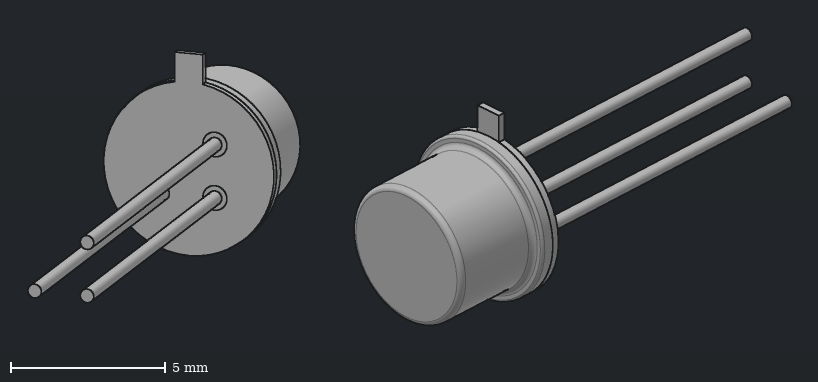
import cadquery as cq


total_length = 16.78
body_height = 4.08
lead_length = total_length - body_height

flange_diameter = 5.84
flange_radius = flange_diameter / 2
plate_thickness = 0.27
tab_width = 0.97
total_height = 6.8
tab_reach = total_height - flange_radius

cap_diameter = 4.95
cap_radius = cap_diameter / 2
rim_top = 0.75
rim_edge_radius = 0.1
cap_foot_radius = 0.2
cap_top_radius = 0.2

lead_diameter = 0.47
seal_diameter = 0.82
lead_spacing = 1.8
lead_offset = lead_spacing / 2
ground_position = (-lead_offset, -lead_offset)
sealed_positions = [(lead_offset, lead_offset), (lead_offset, -lead_offset)]


def cylinder_along_y(position, diameter, y_start, y_end):
    """Round bar centred on an (X, Z) position, from y_start up to y_end."""
    x, z = position
    return (
        cq.Workplane("XZ", origin=(x, y_start, z))
        .circle(diameter / 2)
        .extrude(y_start - y_end)
    )


def make_base_plate():
    """Thin disc with a radial index tab and through holes for the seals and the ground lead."""
    disc = cylinder_along_y((0, 0), flange_diameter, 0, plate_thickness)
    tab = cq.Workplane("XY").box(
        tab_width, plate_thickness, tab_reach, centered=(True, False, False)
    )
    plate = disc.union(tab)
    for position in sealed_positions:
        plate = plate.cut(cylinder_along_y(position, seal_diameter, 0, plate_thickness))
    return plate.cut(cylinder_along_y(ground_position, lead_diameter, 0, plate_thickness))


def make_cap():
    """Turned cap on the base plate: rounded rim, filleted foot and rounded top edge."""
    foot_outer = cap_radius + cap_foot_radius
    profile = (
        cq.Workplane("YZ")
        .moveTo(plate_thickness, 0)
        .lineTo(plate_thickness, flange_radius)
        .lineTo(rim_top - rim_edge_radius, flange_radius)
        .radiusArc((rim_top, flange_radius - rim_edge_radius), rim_edge_radius)
        .lineTo(rim_top, foot_outer)
        .radiusArc((rim_top + cap_foot_radius, cap_radius), -cap_foot_radius)
        .lineTo(body_height - cap_top_radius, cap_radius)
        .radiusArc((body_height, cap_radius - cap_top_radius), cap_top_radius)
        .lineTo(body_height, 0)
        .close()
    )
    return profile.revolve(360, (0, 0, 0), (1, 0, 0))


def make_seal(position):
    """Insulating ring that fills a plate hole around a lead."""
    ring = cylinder_along_y(position, seal_diameter, 0, plate_thickness)
    return ring.cut(cylinder_along_y(position, lead_diameter, 0, plate_thickness))


def make_lead(position):
    """Straight round lead that passes through the plate and stops at the cap."""
    return cylinder_along_y(position, lead_diameter, -lead_length, plate_thickness)


base_plate = make_base_plate()
cap = make_cap()
seals = [make_seal(position) for position in sealed_positions]
leads = [make_lead(position) for position in [ground_position, *sealed_positions]]

result = cq.Compound.makeCompound([
    base_plate.val(),
    cap.val(),
    *[seal.val() for seal in seals],
    *[lead.val() for lead in leads],
])